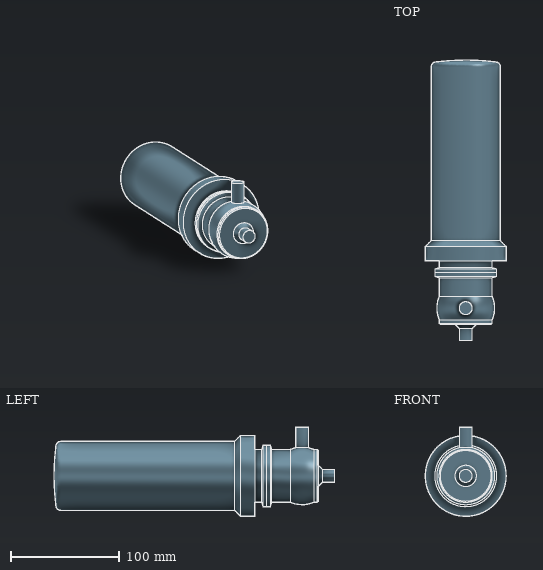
import cadquery as cq

total_length = 259.5
tip_cone_y = 11.2
head_face_y = 15.0
bulge_centre_y = 30.0
joint_y = 62.8
flange_front_y = 73.7
flange_bevel_y = 87.0

tip_diameter = 12.0
neck_diameter = 49.0
collar_diameter = 57.0
barrel_diameter = 64.0
flange_diameter = 75.0

bulge_half_length = 11.0
head_chamfer = 1.0
dome_rise = 2.3
barrel_end_fillet = 4.7

collar_rim_width = 3.5
collar_base_width = 4.7

pin_diameter = 12.0
pin_top_z = 82.5 - flange_diameter / 2

tip_radius = tip_diameter / 2
neck_radius = neck_diameter / 2
collar_radius = collar_diameter / 2
barrel_radius = barrel_diameter / 2
flange_radius = flange_diameter / 2
bulge_radius = (neck_radius**2 + bulge_half_length**2) ** 0.5

tip_cone_radius = tip_radius + head_face_y - tip_cone_y
barrel_start_y = flange_bevel_y + flange_radius - barrel_radius
barrel_end_y = total_length - dome_rise
dome_radius = (barrel_radius**2 + dome_rise**2) / (2 * dome_rise)
dome_mid_x = barrel_radius / 2
dome_mid_y = total_length - dome_radius + (dome_radius**2 - dome_mid_x**2) ** 0.5


def revolve_about_y(profile):
    return profile.close().revolve(360, (0, 0, 0), (0, 1, 0))


def make_side_pin():
    return (
        cq.Workplane("XY")
        .center(0, bulge_centre_y)
        .circle(pin_diameter / 2)
        .extrude(pin_top_z)
    )


def make_head():
    """Tip, bulged head with its side pin, and the front half of the collar."""
    profile = (
        cq.Workplane("XY")
        .moveTo(0, 0)
        .lineTo(tip_radius, 0)
        .lineTo(tip_radius, tip_cone_y)
        .lineTo(tip_cone_radius, head_face_y)
        .lineTo(neck_radius - head_chamfer, head_face_y)
        .lineTo(neck_radius, head_face_y + head_chamfer)
        .lineTo(neck_radius, bulge_centre_y - bulge_half_length)
        .threePointArc(
            (bulge_radius, bulge_centre_y),
            (neck_radius, bulge_centre_y + bulge_half_length),
        )
        .lineTo(neck_radius, joint_y - collar_base_width)
        .lineTo(collar_radius, joint_y - collar_rim_width)
        .lineTo(collar_radius, joint_y)
        .lineTo(0, joint_y)
    )
    return revolve_about_y(profile).union(make_side_pin())


def make_barrel():
    """Rear half of the collar, flange, and barrel with a domed end."""
    profile = (
        cq.Workplane("XY")
        .moveTo(0, joint_y)
        .lineTo(collar_radius, joint_y)
        .lineTo(collar_radius, joint_y + collar_rim_width)
        .lineTo(neck_radius, joint_y + collar_base_width)
        .lineTo(neck_radius, flange_front_y)
        .lineTo(flange_radius, flange_front_y)
        .lineTo(flange_radius, flange_bevel_y)
        .lineTo(barrel_radius, barrel_start_y)
        .lineTo(barrel_radius, barrel_end_y)
        .threePointArc((dome_mid_x, dome_mid_y), (0, total_length))
    )
    end_rim = cq.selectors.NearestToPointSelector((0, barrel_end_y, 0))
    return revolve_about_y(profile).edges("%CIRCLE").edges(end_rim).fillet(barrel_end_fillet)


head = make_head()
barrel = make_barrel()

result = cq.Compound.makeCompound([head.val(), barrel.val()])